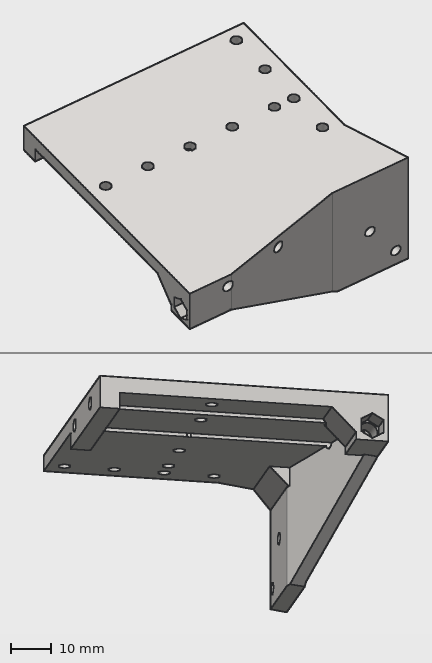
import cadquery as cq
import math

length = 72.0
depth = 71.3
height = 34.0
plate_thickness = 4.0
left_depth = 64.95
peak_start_x = 43.7
rear_right_x = 62.1
bend_y = 48.9
block_depth = 12.25

lip_width = 5.0
lip_length = 33.9
lip_height = 8.1

wall_inner_x = 57.7
inner_bend_y = 50.8
wall_slope_length = 39.4
gusset_front_y = 49.4
gusset_leg = 4.6

block_left_x = 63.9
block_height = 11.95
block_slope_leg = 6.05
bore_x = 68.05
bore_z = -lip_height
bore_diameter = 5.0
nut_across_flats = 5.55
nut_depth = 5.75

hole_diameter = 2.9
wall_hole_diameter = 2.9
side_hole_diameter = 3.0
hole_pitch = 12.45
row_start_x = 4.1
row_count = 4
row_y = 60.0
column_x = 28.9
column_start_y = 4.5
column_count = 5
side_hole_z = -3.5
side_hole_ys = (11.4, 29.3)
wall_holes_yz = ((60.0, -18.9), (67.6, -29.4))


def make_outline_prism():
    """Full-height prism over the plan outline of the part."""
    outline = [
        (0, 0),
        (length, 0),
        (length, block_depth),
        (rear_right_x, bend_y),
        (rear_right_x, depth),
        (peak_start_x, left_depth),
        (0, left_depth),
    ]
    return cq.Workplane("XY").polyline(outline).close().extrude(-height)


def make_plate():
    """Slab that is trimmed by the plan outline."""
    return cq.Workplane("XY").rect(length, depth, centered=False).extrude(-plate_thickness)


def make_lip():
    """Straight lip hanging from the front part of the left edge."""
    return cq.Workplane("XY").rect(lip_width, lip_length, centered=False).extrude(-lip_height)


def make_wall():
    """Bent wall with a rising lower edge and a front end square to its slanted part."""
    run_x = length - rear_right_x
    run_y = bend_y - block_depth
    run = math.hypot(run_x, run_y)
    forward_x = run_x / run
    forward_y = -run_y / run

    thickness = (rear_right_x - wall_inner_x) * -forward_y + (bend_y - inner_bend_y) * forward_x
    plan = [
        (length, block_depth),
        (rear_right_x, bend_y),
        (rear_right_x, depth),
        (wall_inner_x, depth),
        (wall_inner_x, inner_bend_y),
        (length + forward_y * thickness, block_depth - forward_x * thickness),
    ]
    blank = cq.Workplane("XY").polyline(plan).close().extrude(-height)

    along_wall = cq.Plane(
        origin=(length, block_depth, 0),
        xDir=(-forward_x, -forward_y, 0),
        normal=(-forward_y, forward_x, 0),
    )
    profile = [
        (0, 0),
        (depth, 0),
        (depth, -height),
        (wall_slope_length, -height),
        (0, -block_height),
    ]
    side = cq.Workplane(along_wall).polyline(profile).close().extrude(length, both=True)
    return blank.intersect(side)


def make_gusset():
    """45 degree strip between the plate and the straight rear wall."""
    profile = [
        (wall_inner_x - gusset_leg, -plate_thickness),
        (wall_inner_x, -plate_thickness - gusset_leg),
        (rear_right_x, -plate_thickness - gusset_leg),
        (rear_right_x, -plate_thickness),
    ]
    strip = cq.Workplane("XZ").polyline(profile).close().extrude(-(depth - gusset_front_y))
    return strip.translate((0, gusset_front_y, 0))


def make_block():
    """Front right block with a 45 degree flank up to the plate."""
    profile = [
        (block_left_x - block_slope_leg, -plate_thickness),
        (block_left_x, -plate_thickness - block_slope_leg),
        (block_left_x, -block_height),
        (length, -block_height),
        (length, -plate_thickness),
    ]
    return cq.Workplane("XZ").polyline(profile).close().extrude(-block_depth)


def make_bolt_cut():
    """Hexagonal nut pocket in the front face, continued by a round bore."""
    nut_across_corners = nut_across_flats / math.cos(math.radians(30))
    face = cq.Workplane("XZ")
    nut = face.polygon(6, nut_across_corners).extrude(-nut_depth).rotate((0, 0, 0), (0, 1, 0), 30)
    bore = face.circle(bore_diameter / 2).extrude(-block_depth)
    return nut.union(bore).translate((bore_x, 0, bore_z))


def make_plate_holes():
    """A row along X and a column along Y of holes through the plate."""
    row = [(row_start_x + i * hole_pitch, row_y) for i in range(row_count)]
    column = [(column_x, column_start_y + i * hole_pitch) for i in range(column_count)]
    return cq.Workplane("XY").pushPoints(row + column).circle(hole_diameter / 2).extrude(-plate_thickness)


def make_cross_holes():
    """Holes along X: two through the lip and plate, two through the rear wall."""
    side_points = [(y, side_hole_z) for y in side_hole_ys]
    side = cq.Workplane("YZ").pushPoints(side_points).circle(side_hole_diameter / 2).extrude(length)
    wall = cq.Workplane("YZ").pushPoints(wall_holes_yz).circle(wall_hole_diameter / 2).extrude(length)
    return side.union(wall)


block = make_block().cut(make_bolt_cut())
body = make_plate().union(make_lip()).union(make_wall()).union(make_gusset()).union(block)
body = body.intersect(make_outline_prism())
result = body.cut(make_plate_holes()).cut(make_cross_holes())